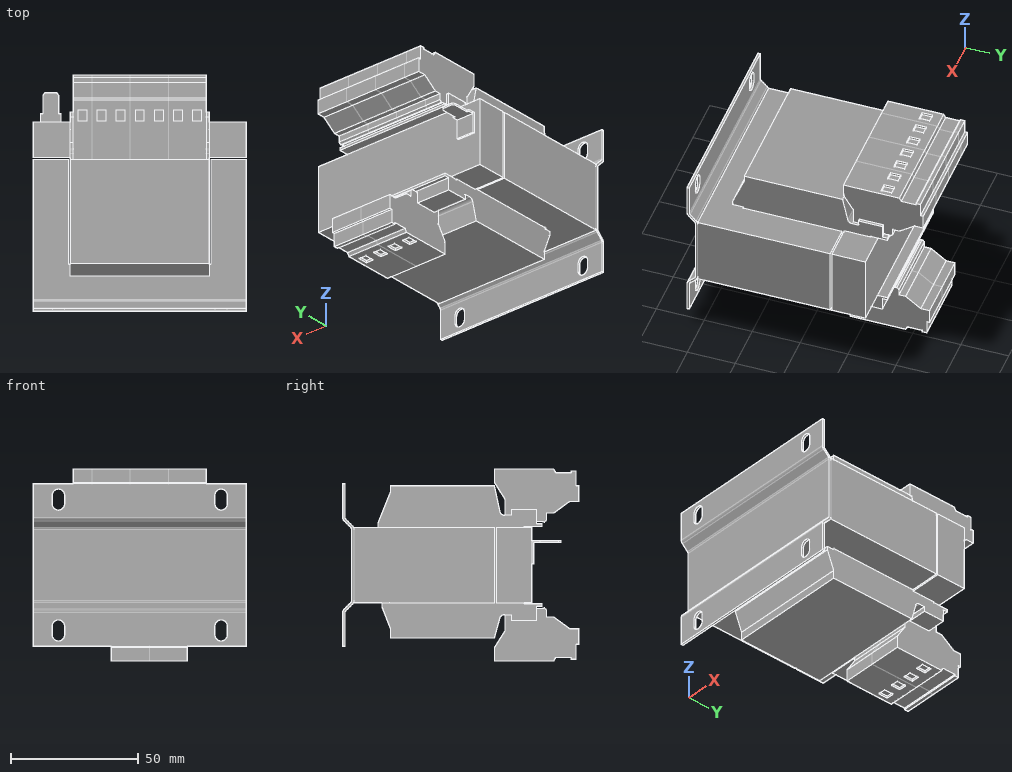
import cadquery as cq
import math


width = 84.0
sheet = 1.0
bracket_height = 64.0
web_front = 3.5
web_half_height = 14.45
bend_angle = 45.0
inner_bend_radius = 1.0
outer_bend_radius = inner_bend_radius + sheet
slot_width = 4.8
slot_length = 8.2
slot_x = 32.0
slot_z = 25.75

leg = width / 6
core_height = 29.7
core_half = core_height / 2
core_front = web_front + sheet
core_depth = 5 * leg
core_back = core_front + core_depth
yoke_front = core_back - leg
air_gap = 0.7
window_front = core_front + leg
window_width = 4 * leg

bobbin_width = 54.8
coil_back = yoke_front - air_gap
coil_front = 18.8
lip_back = 78.5
lip_front = 71.5
lip_clearance = 0.3
lip_bottom = core_half + lip_clearance
lip_top = 16.3
rail_back = 76.4
rail_front = 66.4
rail_top = 21.8
groove_floor = 19.6
groove_front = 62.3
groove_radius = 1.8
shoulder_height = 16.5
upper_coil_height = 31.25
upper_coil_corner = 28.7
upper_shoulder_y = 13.9
lower_coil_height = 28.75
lower_coil_corner = 25.0
lower_shoulder_y = 15.5

terminal_height = 37.85
terminal_back = 93.05
half_block = 7.5
block = 2 * half_block
upper_blocks = 3
lower_blocks = 2
terminal_toe = 80.3
terminal_nose_bottom = 32.4
terminal_foot_front = 63.9
terminal_foot_shoulder = 25.9
terminal_hook = 17.1
chin_y = 83.1
chin_z = 20.4
back_bottom = 25.0
back_ledge = 31.2
ridge_back = 91.9
ridge_front = 90.0
ridge_top = 37.1
recess_front = 83.9
top_face_back = 83.1
back_slant_y = 89.4
hook_bevel_front = 78.6
hook_tip_y = 79.4
hook_tip_z = 16.8
toe_bottom = 17.7
recess_floor = 36.4
opening_width = 3.5
opening_length = 4.4
opening_y = 77.0
opening_depth = 1.0

tab_x = -(width - leg) / 2
tab_sheet = 0.8
tab_top = 9.65
tab_leg_bottom = 0.45
tab_base_width = 8.2
tab_blade_width = 6.3
tab_shoulder_y = 77.8
tab_tip_y = 86.0
tab_tip_length = 1.0
tab_tip_inset = 0.8


def extrude_across(outline, x_min, x_max):
    """Extrude a closed (Y, Z) outline along X from x_min to x_max."""
    return cq.Workplane("YZ").workplane(offset=x_min).polyline(outline).close().extrude(x_max - x_min)


def block_between(x_min, x_max, y_min, y_max, z_min, z_max):
    size = (x_max - x_min, y_max - y_min, z_max - z_min)
    return cq.Workplane("XY").box(*size, centered=False).translate((x_min, y_min, z_min))


def mirror_down(shape):
    return shape.mirror("XY")


def make_bracket():
    """Hat-shaped sheet: a web against the core and two slotted flanges."""
    half = bracket_height / 2
    bend_shift = sheet * math.tan(math.radians(bend_angle / 2))
    flange_bend = web_half_height + web_front
    upper_front = [(web_front, web_half_height), (0, flange_bend), (0, half)]
    upper_back = [
        (sheet, half),
        (sheet, flange_bend + bend_shift),
        (web_front + sheet, web_half_height + bend_shift),
    ]
    upper = upper_front + upper_back
    lower = [(y, -z) for y, z in reversed(upper)]
    bracket = extrude_across(upper + lower, -width / 2, width / 2)

    def bend_edges(y, z):
        """Selector for the bend edge at (y, z) and its mirror image below the web."""
        reach = 0.05
        edges = cq.selectors.BoxSelector((-1, y - reach, z - reach), (1, y + reach, z + reach))
        mirrored = cq.selectors.BoxSelector((-1, y - reach, -z - reach), (1, y + reach, -z + reach))
        return edges + mirrored

    inner = bend_edges(*upper_front[0]) + bend_edges(*upper_back[1])
    outer = bend_edges(*upper_front[1]) + bend_edges(*upper_back[2])
    bracket = bracket.edges(inner).fillet(inner_bend_radius)
    bracket = bracket.edges(outer).fillet(outer_bend_radius)

    slots = (
        cq.Workplane("XZ")
        .rect(2 * slot_x, 2 * slot_z, forConstruction=True)
        .vertices()
        .slot2D(slot_length, slot_width, 90)
        .extrude(-sheet)
    )
    return bracket.cut(slots)


def make_core():
    """E-shaped stack (with its window) and the separate yoke behind an air gap."""
    half = width / 2
    e_stack = block_between(-half, half, core_front, coil_back, -core_half, core_half)
    window = block_between(
        -window_width / 2, window_width / 2, window_front, coil_back, -core_half, core_half
    )
    yoke = block_between(-half, half, yoke_front, core_back, -core_half, core_half)
    return e_stack.cut(window).union(yoke)


def make_winding():
    """Winding and centre leg filling the core window up to the yoke."""
    half = bobbin_width / 2
    return block_between(-half, half, window_front, yoke_front, -core_half, core_half)


def make_bobbin_side(coil_height, coil_corner_height, shoulder_y):
    """Part of the bobbin above the core, with the rail that carries the terminals."""
    outline = [
        (shoulder_y, core_half),
        (shoulder_y, shoulder_height),
        (coil_front, coil_corner_height),
        (coil_front, coil_height),
        (coil_back, coil_height),
        (groove_front, groove_floor),
        (rail_front, groove_floor),
        (rail_front, rail_top),
        (rail_back, rail_top),
        (rail_back, lip_top),
        (lip_back, lip_top),
        (lip_back, lip_bottom),
        (lip_front, lip_bottom),
        (lip_front, core_half),
    ]
    side = extrude_across(outline, -bobbin_width / 2, bobbin_width / 2)
    groove_edge = cq.selectors.NearestToPointSelector((0, groove_front, groove_floor))
    return side.edges(groove_edge).fillet(groove_radius)


def make_terminals(x_edges):
    """Row of terminal blocks between successive X edges, with one opening per half block."""
    outline = [
        (coil_back, terminal_height),
        (coil_back, terminal_nose_bottom),
        (terminal_foot_front, terminal_foot_shoulder),
        (terminal_foot_front, groove_floor),
        (rail_front, groove_floor),
        (rail_front, rail_top),
        (rail_back, rail_top),
        (rail_back, terminal_hook),
        (hook_bevel_front, terminal_hook),
        (hook_tip_y, hook_tip_z),
        (terminal_toe, toe_bottom),
        (terminal_toe, chin_z),
        (chin_y, chin_z),
        (back_slant_y, back_bottom),
        (terminal_back, back_bottom),
        (terminal_back, back_ledge),
        (ridge_back, back_ledge),
        (ridge_back, ridge_top),
        (ridge_front, ridge_top),
        (ridge_front, recess_floor),
        (recess_front, recess_floor),
        (top_face_back, terminal_height),
    ]
    row = None
    for x_min, x_max in zip(x_edges, x_edges[1:]):
        body = extrude_across(outline, x_min, x_max)
        row = body if row is None else row.union(body, clean=False)

    opening_count = round((x_edges[-1] - x_edges[0]) / half_block)
    for index in range(opening_count):
        x = x_edges[0] + (index + 0.5) * half_block
        opening = cq.Workplane("XY").box(opening_width, opening_length, 2 * opening_depth)
        row = row.cut(opening.translate((x, opening_y, terminal_height)), clean=False)
    return row


def make_earth_tab():
    """L-shaped blade terminal on the back of the yoke."""
    base_half = tab_base_width / 2
    blade_half = tab_blade_width / 2
    tip_half = blade_half - tab_tip_inset
    right_side = [
        (base_half, core_back),
        (base_half, tab_shoulder_y),
        (blade_half, tab_shoulder_y),
        (blade_half, tab_tip_y - tab_tip_length),
        (tip_half, tab_tip_y),
    ]
    left_side = [(-x, y) for x, y in reversed(right_side)]
    blade = cq.Workplane("XY").polyline(right_side + left_side).close().extrude(tab_sheet)
    blade = blade.translate((tab_x, 0, tab_top - tab_sheet))
    foot = block_between(
        tab_x - base_half, tab_x + base_half, core_back, core_back + tab_sheet, tab_leg_bottom, tab_top
    )
    return blade.union(foot)


upper_bobbin = make_bobbin_side(upper_coil_height, upper_coil_corner, upper_shoulder_y)
lower_bobbin = mirror_down(make_bobbin_side(lower_coil_height, lower_coil_corner, lower_shoulder_y))

upper_start = -(half_block + upper_blocks * block) / 2
upper_edges = [upper_start] + [upper_start + half_block + i * block for i in range(upper_blocks + 1)]
lower_start = upper_start + block
lower_edges = [lower_start + i * block for i in range(lower_blocks + 1)]
upper_terminals = make_terminals(upper_edges)
lower_terminals = mirror_down(make_terminals(lower_edges))

result = make_core().union(make_winding())
for piece in (upper_bobbin, lower_bobbin, make_earth_tab()):
    result = result.union(piece)
for piece in (make_bracket(), upper_terminals, lower_terminals):
    result = result.union(piece, clean=False)